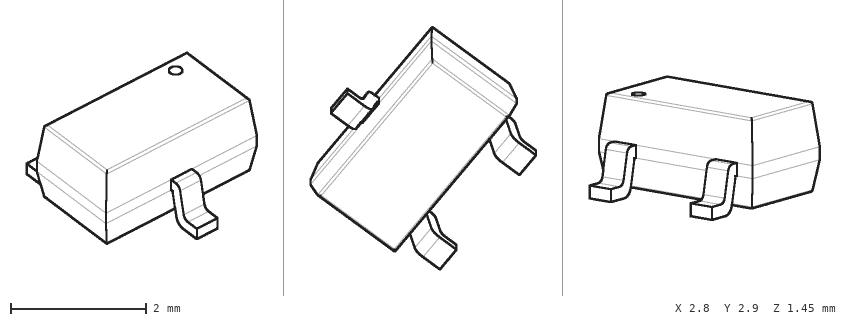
import cadquery as cq
import math

body_width = 1.607
body_length = 2.9
body_bottom = 0.072
body_top = 1.45
taper_inset = 0.08
edge_radius = 0.04

dimple_diameter = 0.2
dimple_depth = 0.2
dimple_x = -0.485

overall_width = 2.8
lead_thickness = 0.197
lead_width = 0.4
lead_top = 0.76
lead_pitch = 1.905
leg_angle = 11.7
shoulder_ledge = 0.032
shoulder_radius = 0.105
ankle_radius = 0.1
heel_radius = 0.16

band_top = lead_top
band_bottom = lead_top - lead_thickness
dimple_y = lead_pitch / 2


def tapered_block(start_z, end_z):
    """Block narrowing by taper_inset on every side, with a rounded end face."""
    height = end_z - start_z
    end_face = ">Z" if height > 0 else "<Z"
    draft_angle = math.degrees(math.atan(taper_inset / abs(height)))
    return (
        cq.Workplane("XY", origin=(0, 0, start_z))
        .rect(body_width, body_length)
        .extrude(height, taper=draft_angle)
        .faces(end_face)
        .edges()
        .fillet(edge_radius)
    )


def make_housing():
    band = cq.Workplane("XY", origin=(0, 0, band_bottom)).box(
        body_width, body_length, band_top - band_bottom, centered=(True, True, False)
    )
    dimple = (
        cq.Workplane("XY", origin=(dimple_x, dimple_y, body_top - dimple_depth))
        .circle(dimple_diameter / 2)
        .extrude(dimple_depth)
    )
    upper_block = tapered_block(band_top, body_top)
    lower_block = tapered_block(band_bottom, body_bottom)
    return band.union(upper_block).union(lower_block).cut(dimple)


def make_lead(side, center_y):
    """Lead leaving the housing toward +X (side = 1) or -X (side = -1)."""
    root_x = body_width / 2
    tip_x = overall_width / 2
    slope = math.tan(math.radians(leg_angle))
    leg_run = lead_thickness / math.cos(math.radians(leg_angle))
    inner_x = root_x + shoulder_ledge
    heel_x = inner_x + band_bottom * slope
    shoulder_x = inner_x + leg_run - lead_thickness * slope
    ankle_x = heel_x + leg_run - lead_thickness * slope

    outline = [
        (root_x, band_bottom),
        (inner_x, band_bottom),
        (heel_x, 0),
        (tip_x, 0),
        (tip_x, lead_thickness),
        (ankle_x, lead_thickness),
        (shoulder_x, lead_top),
        (root_x, lead_top),
    ]
    lead = (
        cq.Workplane("XZ", origin=(0, center_y, 0))
        .polyline([(side * x, z) for x, z in outline])
        .close()
        .extrude(lead_width / 2, both=True)
    )
    bends = [
        (heel_x, 0, heel_radius),
        (ankle_x, lead_thickness, ankle_radius),
        (shoulder_x, lead_top, shoulder_radius),
    ]
    for bend_x, bend_z, radius in bends:
        corner = cq.selectors.NearestToPointSelector((side * bend_x, center_y, bend_z))
        lead = lead.edges("|Y").edges(corner).fillet(radius)
    return lead


housing = make_housing()

lead_places = [(-1, -lead_pitch / 2), (-1, lead_pitch / 2), (1, 0)]
leads = [make_lead(side, center_y) for side, center_y in lead_places]

result = cq.Compound.makeCompound([housing.val(), *[lead.val() for lead in leads]])